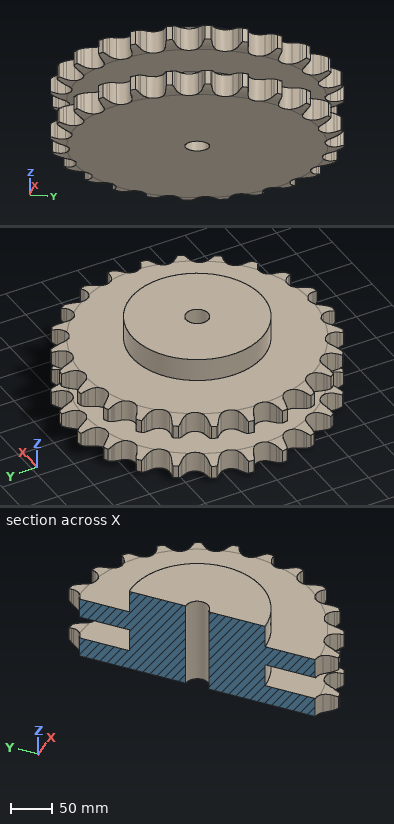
import cadquery as cq
import math


overall_width = 356.8
overall_height = 120.0
hub_diameter = 180.0
bore_diameter = 30.0
tooth_count = 24
pitch_diameter = 340.7
roller_diameter = 28.0
roller_clearance = 0.05
disc_thickness = 28.5
strand_spacing = 60.0
bevel_start_radius = 159.0
bevel_drop = 5.5
cutter_margin = 3.5

pitch_radius = pitch_diameter / 2
seating_angle = math.radians(35 + 60 / tooth_count)
working_angle = math.radians(18 - 56 / tooth_count)
topping_angle = math.radians(17 - 64 / tooth_count)
half_pitch_angle = math.pi / tooth_count
working_offset = 0.8 * roller_diameter
topping_offset = 1.4 * roller_diameter
seating_radius = 0.5025 * roller_diameter + roller_clearance
working_radius = working_offset + seating_radius
flat_length = topping_offset * math.sin(topping_angle) - working_offset * math.sin(working_angle)
topping_radius = (
    working_offset * math.cos(working_angle)
    + topping_offset * math.cos(topping_angle)
    - working_radius
)


def polar(center, radius, angle):
    return (center[0] + radius * math.cos(angle), center[1] + radius * math.sin(angle))


roller_center = (0, pitch_radius)
working_center = polar(roller_center, working_offset, math.pi - seating_angle)
topping_center = polar(roller_center, topping_offset, -half_pitch_angle)
flank_angle = working_angle - seating_angle

root = (0, pitch_radius - seating_radius)
seating_end = polar(roller_center, seating_radius, -seating_angle)
working_mid = polar(working_center, working_radius, flank_angle - working_angle / 2)
working_end = polar(working_center, working_radius, flank_angle)
flat_end = polar(working_end, flat_length, flank_angle + math.pi / 2)

tip_rise = overall_width / 2 - topping_center[1]
tip_reach = math.sqrt(topping_radius**2 - tip_rise**2)
tip_corner = (topping_center[0] - tip_reach, overall_width / 2)
tip_radius = math.hypot(*tip_corner)
topping_start_angle = math.atan2(flat_end[1] - topping_center[1], flat_end[0] - topping_center[0])
topping_end_angle = math.atan2(tip_rise, -tip_reach)
topping_mid = polar(topping_center, topping_radius, (topping_start_angle + topping_end_angle) / 2)


def mirrored(point):
    return (-point[0], point[1])


def make_disc(bottom):
    """Toothless disc whose rim is rounded off on both faces."""
    top = bottom + disc_thickness
    bevel_length = tip_radius - bevel_start_radius
    bevel_radius = (bevel_length**2 + bevel_drop**2) / (2 * bevel_drop)
    half_turn = math.atan2(bevel_drop, bevel_length)
    mid_radius = bevel_start_radius + bevel_radius * math.sin(half_turn)
    mid_drop = bevel_radius * (1 - math.cos(half_turn))
    return (
        cq.Workplane("XZ")
        .moveTo(0, bottom)
        .lineTo(bevel_start_radius, bottom)
        .threePointArc((mid_radius, bottom + mid_drop), (tip_radius, bottom + bevel_drop))
        .lineTo(tip_radius, top - bevel_drop)
        .threePointArc((mid_radius, top - mid_drop), (bevel_start_radius, top))
        .lineTo(0, top)
        .close()
        .revolve(360, (0, 0, 0), (0, 1, 0))
    )


def make_gap_cutter():
    """Prism filling one tooth gap on the +Y axis, through both discs."""
    outside = (tip_corner[0], tip_corner[1] + cutter_margin)
    return (
        cq.Workplane("XY")
        .moveTo(*mirrored(outside))
        .lineTo(*mirrored(tip_corner))
        .threePointArc(mirrored(topping_mid), mirrored(flat_end))
        .lineTo(*mirrored(working_end))
        .threePointArc(mirrored(working_mid), mirrored(seating_end))
        .threePointArc(root, seating_end)
        .threePointArc(working_mid, working_end)
        .lineTo(*flat_end)
        .threePointArc(topping_mid, tip_corner)
        .lineTo(*outside)
        .close()
        .extrude(overall_height)
    )


result = cq.Workplane("XY").circle(hub_diameter / 2).extrude(overall_height)
for disc_bottom in (0, strand_spacing):
    result = result.union(make_disc(disc_bottom))

gap_cutter = make_gap_cutter()
for gap in range(tooth_count):
    result = result.cut(gap_cutter.rotate((0, 0, 0), (0, 0, 1), gap * 360 / tooth_count))

result = result.cut(cq.Workplane("XY").circle(bore_diameter / 2).extrude(overall_height))